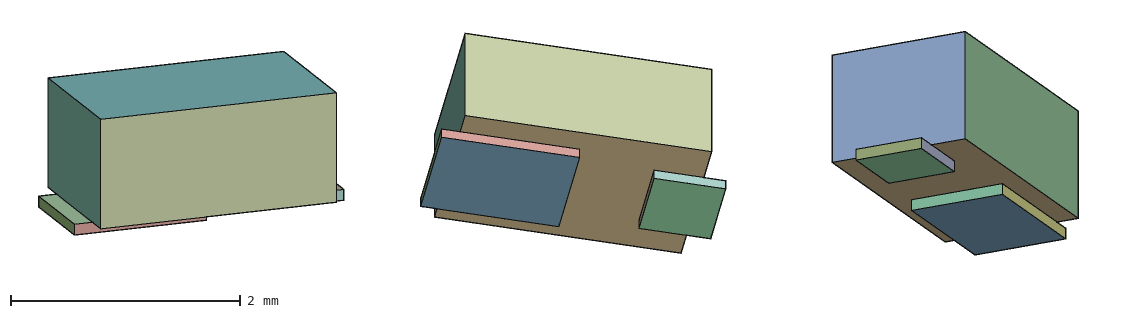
import cadquery as cq

BODY_WIDTH = 1.3
BODY_LENGTH = 2.2
TOTAL_LENGTH = 2.56
TOTAL_HEIGHT = 1.1

LEAD_THICKNESS = 0.1
FRONT_LEAD_WIDTH = 0.885
FRONT_LEAD_LENGTH = 1.231
REAR_LEAD_WIDTH = 0.64
REAR_LEAD_LENGTH = 0.64
REAR_OVERHANG = 0.195

BODY_HEIGHT = TOTAL_HEIGHT - LEAD_THICKNESS
REAR_END = BODY_LENGTH / 2 + REAR_OVERHANG
FRONT_END = REAR_END - TOTAL_LENGTH


def make_body():
    """Plain block resting on top of the leads."""
    return (
        cq.Workplane("XY")
        .workplane(offset=LEAD_THICKNESS)
        .rect(BODY_WIDTH, BODY_LENGTH)
        .extrude(BODY_HEIGHT)
    )


def make_lead(width, front_y, rear_y):
    """Flat lead on the base plane, running from front_y to rear_y."""
    return (
        cq.Workplane("XY")
        .center(0, (front_y + rear_y) / 2)
        .rect(width, rear_y - front_y)
        .extrude(LEAD_THICKNESS)
    )


body = make_body()
front_lead = make_lead(FRONT_LEAD_WIDTH, FRONT_END, FRONT_END + FRONT_LEAD_LENGTH)
rear_lead = make_lead(REAR_LEAD_WIDTH, REAR_END - REAR_LEAD_LENGTH, REAR_END)

result = cq.Compound.makeCompound([body.val(), front_lead.val(), rear_lead.val()])